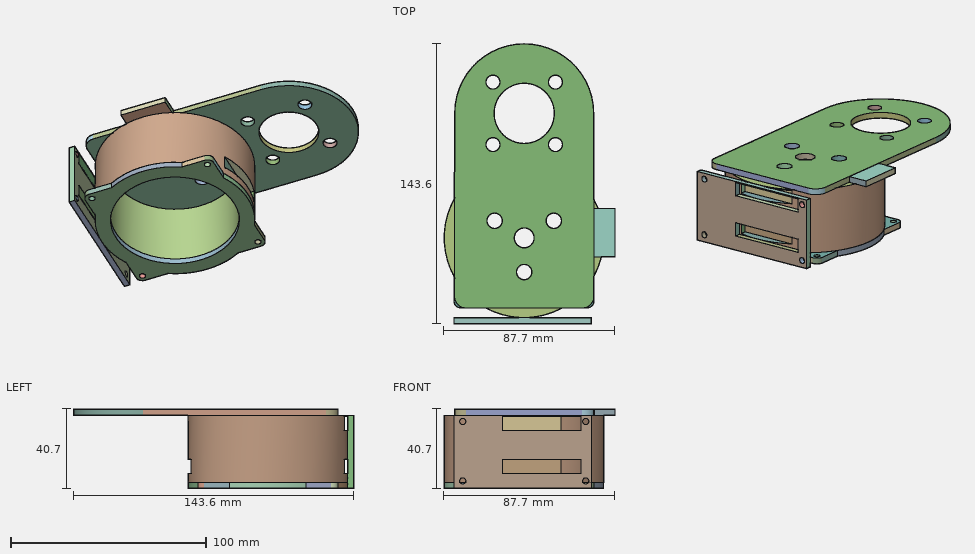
import cadquery as cq

sheet = 3.2
housing_radius = 40.9
bore_radius = 33.0
panel_height = 37.5
housing_height = panel_height - sheet

base_side = 71.8
base_corner_radius = 3.5
ear_hole_spacing = 64.6
ear_hole_diameter = 3.2

plate_center_x = 0.1
plate_width = 71.4
plate_end_radius = plate_width / 2
plate_far_y = 99.5
plate_end_y = plate_far_y - plate_end_radius
plate_near_y = -36.0
plate_corner_radius = 6.0
large_bore_diameter = 30.7
mount_hole_spacing = 32.0
mount_hole_diameter = 7.0
shaft_hole_diameter = 10.0
ring_hole_radius = 17.5
ring_hole_diameter = 7.8
ring_hole_count = 3

panel_left = -35.9
panel_width = 70.5
panel_hole_center_x = 0.1
panel_hole_spacing_x = 63.0
panel_hole_bottom = 3.9
panel_hole_spacing_z = 30.5
panel_hole_diameter = 3.2

window_left = -11.0
window_width = 40.2
window_height = 7.2
lower_window_z = 7.8
upper_window_z = 29.7
pocket_floor_y = 36.2

tab_left = 36.0
tab_right = 46.8
tab_near_y = -9.8
tab_length = 24.8


def box(x, y, z, length, width, height):
    """Box with its lowest corner at (x, y, z)."""
    return cq.Workplane("XY").box(length, width, height, centered=False).translate((x, y, z))


def window_cutter(near_y, depth, bottom_z):
    return box(window_left, near_y, bottom_z, window_width, depth, window_height)


def make_base():
    square = (
        cq.Workplane("XY").rect(base_side, base_side).extrude(sheet)
        .edges("|Z").fillet(base_corner_radius)
    )
    disc = cq.Workplane("XY").circle(housing_radius).extrude(sheet)
    bore = cq.Workplane("XY").circle(bore_radius).extrude(sheet)
    ear_holes = (
        cq.Workplane("XY")
        .rect(ear_hole_spacing, ear_hole_spacing, forConstruction=True).vertices()
        .circle(ear_hole_diameter / 2).extrude(sheet)
    )
    return square.union(disc).cut(bore).cut(ear_holes)


def make_housing():
    ring = (
        cq.Workplane("XY", origin=(0, 0, sheet))
        .circle(housing_radius).circle(bore_radius).extrude(housing_height)
    )
    pocket_depth = housing_radius - pocket_floor_y
    for bottom_z in (lower_window_z, upper_window_z):
        ring = ring.cut(window_cutter(-housing_radius, pocket_depth, bottom_z))
    return ring.cut(window_cutter(pocket_floor_y, pocket_depth, lower_window_z))


def make_top_plate():
    straight_length = plate_end_y - plate_near_y
    plane = cq.Workplane("XY", origin=(plate_center_x, 0, panel_height))
    straight = (
        plane.center(0, plate_near_y + straight_length / 2)
        .rect(plate_width, straight_length).extrude(sheet)
        .edges("|Z and <Y").fillet(plate_corner_radius)
    )
    plane = cq.Workplane("XY", origin=(plate_center_x, 0, panel_height))
    round_end = plane.center(0, plate_end_y).circle(plate_end_radius).extrude(sheet)

    plane = cq.Workplane("XY", origin=(plate_center_x, plate_end_y, panel_height))
    large_bore = plane.circle(large_bore_diameter / 2).extrude(sheet)
    mount_holes = (
        plane.rect(mount_hole_spacing, mount_hole_spacing, forConstruction=True).vertices()
        .circle(mount_hole_diameter / 2).extrude(sheet)
    )

    plane = cq.Workplane("XY", origin=(plate_center_x, 0, panel_height))
    shaft_hole = plane.circle(shaft_hole_diameter / 2).extrude(sheet)
    ring_holes = (
        plane.polarArray(ring_hole_radius, -90, 360, ring_hole_count)
        .circle(ring_hole_diameter / 2).extrude(sheet)
    )
    plate = straight.union(round_end)
    for cutter in (large_bore, mount_holes, shaft_hole, ring_holes):
        plate = plate.cut(cutter)
    return plate


def make_panel():
    near_y = -housing_radius - sheet
    panel = box(panel_left, near_y, 0, panel_width, sheet, panel_height)
    for bottom_z in (lower_window_z, upper_window_z):
        panel = panel.cut(window_cutter(near_y, sheet, bottom_z))
    hole_center_z = panel_hole_bottom + panel_hole_spacing_z / 2
    screw_holes = (
        cq.Workplane("XZ", origin=(panel_hole_center_x, -housing_radius, hole_center_z))
        .rect(panel_hole_spacing_x, panel_hole_spacing_z, forConstruction=True).vertices()
        .circle(panel_hole_diameter / 2).extrude(sheet)
    )
    return panel.cut(screw_holes)


def make_tab():
    """Flat tab beside the top plate, resting on the housing rim."""
    return box(tab_left, tab_near_y, panel_height, tab_right - tab_left, tab_length, sheet)


base = make_base()
housing = make_housing()
top_plate = make_top_plate()
panel = make_panel()
tab = make_tab()

result = cq.Compound.makeCompound(
    [base.val(), housing.val(), top_plate.val(), panel.val(), tab.val()]
)